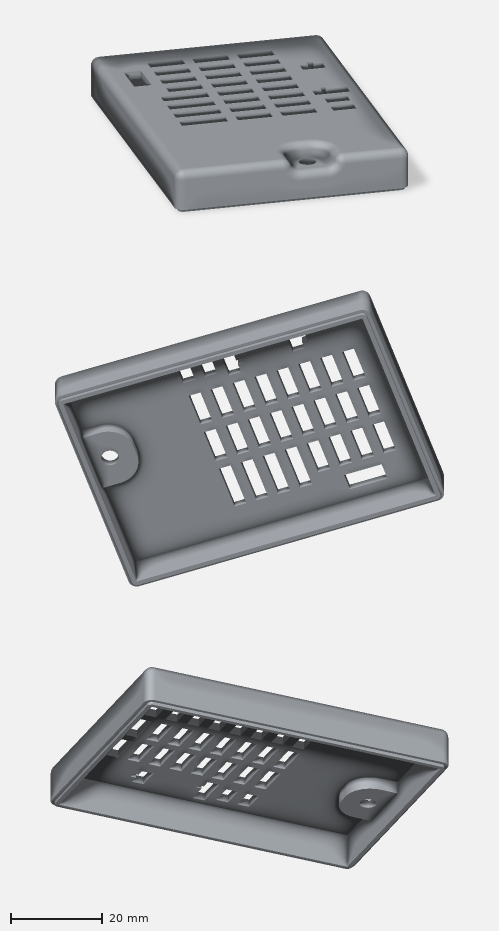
import cadquery as cq
import math

LENGTH = 73.0
WIDTH = 53.0
HEIGHT = 9.7
EDGE_RADIUS = 1.9
WALL = 1.8

LIP_HEIGHT = 0.7
LIP_INSET = 0.8

RECESS_Y = 4.8
RECESS_WIDTH = 13.95
RECESS_DEPTH = 2.85
RECESS_RIM_RADIUS = 2.0
RECESS_FLOOR_RADIUS = 2.0
RECESS_CORNER_SPACING = 2.25
SCREW_X = 30.65
SCREW_HOLE_DIAMETER = 3.8

COLUMNS = 8
FIRST_COLUMN_X = -27.2
LAST_COLUMN_X = 8.3
COLUMN_PITCH = (LAST_COLUMN_X - FIRST_COLUMN_X) / (COLUMNS - 1)
SLOT_WIDTH = 2.8
SLOT_LENGTH = 7.95
ROW_TOPS = (12.85, 2.7, -7.45)
LONG_SLOT_LENGTH = 10.5
FIRST_LONG_COLUMN = 4

TOP_ROW_Y = 19.05
SHORT_SLOT_LENGTH = 5.25
SHORT_SLOT_COLUMNS = (2, 6, 7)
TALL_SLOT_COLUMN = 5
TAB_LENGTH = 1.25
SHORT_SLOT_TAB_COLUMN = 2
SHORT_SLOT_TAB_WIDTH = 1.4
SHORT_SLOT_TAB_Y = 19.0
TALL_SLOT_TAB_WIDTH = 1.1
TALL_SLOT_TAB_Y = 17.75

WIDE_SLOT_LENGTH = 8.75
WIDE_SLOT_WIDTH = 3.95
WIDE_SLOT_COLUMN = 2

SIDE_X = LENGTH / 2
RECESS_FLOOR_Z = HEIGHT - RECESS_DEPTH
RECESS_TOP_RADIUS = (RECESS_WIDTH - RECESS_CORNER_SPACING) / 2
RECESS_CORNERS_Y = (RECESS_Y - RECESS_CORNER_SPACING / 2, RECESS_Y + RECESS_CORNER_SPACING / 2)

RECESS_RADII = RECESS_RIM_RADIUS + RECESS_FLOOR_RADIUS
RECESS_WALL_ANGLE = math.acos(1 - RECESS_DEPTH / RECESS_RADII)


def column_x(column):
    return FIRST_COLUMN_X + column * COLUMN_PITCH


def rounded_block(length, width, bottom, top, radius):
    """Upright block centred in X and Y, with rounded vertical edges."""
    block = cq.Workplane("XY").workplane(offset=bottom).rect(length, width).extrude(top - bottom)
    return block.edges("|Z").fillet(radius)


def wall_arc_point(center, radius, angle):
    """Point on an arc, with the angle measured from straight up."""
    return (center[0] + radius * math.sin(angle), center[1] + radius * math.cos(angle))


def recess_section(plane):
    """Half section of the recess, from its inner axis out to the rim."""
    rim_center = (RECESS_TOP_RADIUS, HEIGHT - RECESS_RIM_RADIUS)
    floor_end = RECESS_TOP_RADIUS - RECESS_RADII * math.sin(RECESS_WALL_ANGLE)
    floor_center = (floor_end, RECESS_FLOOR_Z + RECESS_FLOOR_RADIUS)
    return (
        cq.Workplane(plane)
        .moveTo(0, RECESS_FLOOR_Z)
        .lineTo(floor_end, RECESS_FLOOR_Z)
        .threePointArc(
            wall_arc_point(floor_center, RECESS_FLOOR_RADIUS, math.pi - RECESS_WALL_ANGLE / 2),
            wall_arc_point(floor_center, RECESS_FLOOR_RADIUS, math.pi - RECESS_WALL_ANGLE),
        )
        .threePointArc(
            wall_arc_point(rim_center, RECESS_RIM_RADIUS, -RECESS_WALL_ANGLE / 2),
            (RECESS_TOP_RADIUS, HEIGHT),
        )
        .lineTo(0, HEIGHT)
        .close()
    )


def make_recess():
    """Recess cutter: two turned corners, a straight end wall and two straight side walls."""
    low_y, high_y = RECESS_CORNERS_Y
    side_length = LENGTH - SCREW_X
    end_plane = cq.Plane(origin=(SCREW_X, low_y, 0), xDir=(-1, 0, 0), normal=(0, 1, 0))
    recess = recess_section(end_plane).extrude(RECESS_CORNER_SPACING)
    for y, outward in ((low_y, -1), (high_y, 1)):
        side_plane = cq.Plane(origin=(SCREW_X, y, 0), xDir=(0, outward, 0), normal=(outward, 0, 0))
        recess = recess.union(recess_section(side_plane).revolve(360, (0, 0), (0, 1)))
        recess = recess.union(recess_section(side_plane).extrude(outward * side_length))
    middle = cq.Workplane("XY").box(
        side_length, RECESS_CORNER_SPACING, RECESS_DEPTH, centered=(False, True, False)
    )
    return recess.union(middle.translate((SCREW_X, RECESS_Y, RECESS_FLOOR_Z)))


def make_outer_body():
    """Solid cover with the recess cut in and its outer top edge rounded, across the mouth too."""
    body = rounded_block(LENGTH, WIDTH, LIP_HEIGHT, HEIGHT, EDGE_RADIUS).cut(make_recess())
    return body.faces(">Z").edges("<X").fillet(EDGE_RADIUS)


def make_cavity():
    """Inner space, open at the underside, leaving a wall around the recess."""
    cavity = cq.Workplane("XY").box(
        LENGTH - 2 * WALL, WIDTH - 2 * WALL, HEIGHT - WALL, centered=(True, True, False)
    )
    housing_length = SIDE_X - SCREW_X + RECESS_TOP_RADIUS
    housing = (
        cq.Workplane("XY", origin=(SIDE_X - housing_length / 2, RECESS_Y, RECESS_FLOOR_Z - WALL))
        .rect(housing_length, RECESS_WIDTH)
        .extrude(RECESS_DEPTH + WALL)
    )
    return cavity.cut(housing.edges("|Z and <X").fillet(RECESS_TOP_RADIUS))


def opening(left_x, right_x, bottom_y, top_y):
    """Cutter for a rectangular opening through the top plate."""
    return cq.Workplane("XY").box(
        right_x - left_x, top_y - bottom_y, HEIGHT, centered=False
    ).translate((left_x, bottom_y, 0))


def column_slot(column, bottom_y, top_y):
    x = column_x(column)
    return opening(x - SLOT_WIDTH / 2, x + SLOT_WIDTH / 2, bottom_y, top_y)


def tab_slot(column, y, width):
    """Small notch on the -X side of a slot."""
    right_x = column_x(column) - SLOT_WIDTH / 2
    return opening(right_x - TAB_LENGTH, right_x, y - width / 2, y + width / 2)


def make_openings():
    cutters = []
    last_row_top = ROW_TOPS[-1]
    for top_y in ROW_TOPS:
        for column in range(COLUMNS):
            is_long = top_y == last_row_top and column >= FIRST_LONG_COLUMN
            length = LONG_SLOT_LENGTH if is_long else SLOT_LENGTH
            cutters.append(column_slot(column, top_y - length, top_y))

    for column in SHORT_SLOT_COLUMNS:
        cutters.append(
            column_slot(column, TOP_ROW_Y - SHORT_SLOT_LENGTH / 2, TOP_ROW_Y + SHORT_SLOT_LENGTH / 2)
        )
    cutters.append(
        column_slot(TALL_SLOT_COLUMN, TOP_ROW_Y - SLOT_LENGTH / 2, TOP_ROW_Y + SLOT_LENGTH / 2)
    )
    cutters.append(tab_slot(SHORT_SLOT_TAB_COLUMN, SHORT_SLOT_TAB_Y, SHORT_SLOT_TAB_WIDTH))
    cutters.append(tab_slot(TALL_SLOT_COLUMN, TALL_SLOT_TAB_Y, TALL_SLOT_TAB_WIDTH))

    wide_right_x = column_x(WIDE_SLOT_COLUMN) + SLOT_WIDTH / 2
    wide_top_y = last_row_top - LONG_SLOT_LENGTH
    cutters.append(
        opening(wide_right_x - WIDE_SLOT_LENGTH, wide_right_x, wide_top_y - WIDE_SLOT_WIDTH, wide_top_y)
    )
    return cutters


lip = rounded_block(
    LENGTH - 2 * LIP_INSET, WIDTH - 2 * LIP_INSET, 0, LIP_HEIGHT, EDGE_RADIUS - LIP_INSET
)
screw_hole = (
    cq.Workplane("XY").center(SCREW_X, RECESS_Y).circle(SCREW_HOLE_DIAMETER / 2).extrude(HEIGHT)
)

result = make_outer_body().union(lip).cut(make_cavity()).cut(screw_hole)
for cutter in make_openings():
    result = result.cut(cutter)